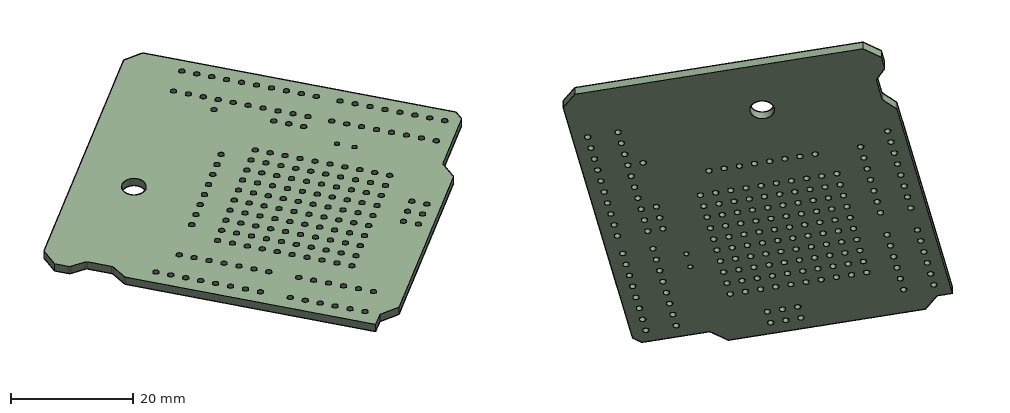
import cadquery as cq

board_width = 59.7
width_in_pitches = 23.5
depth_in_pitches = 21
board_thickness = 1.6
pitch = board_width / width_in_pitches
board_depth = depth_in_pitches * pitch

corner_chamfer = pitch
top_right_chamfer = 1.3
main_right_x = board_width - pitch
tab_bottom_y = pitch
tab_top_y = 16 * pitch

notch_depth = 1.9
notch_left_x = 5.15
notch_floor_left_x = 7.4
notch_floor_right_x = 11.9
notch_right_x = 14.5
notch_corner_radius = 0.65
edge_clearance = 0.3

pin_diameter = 1.0
small_pin_diameter = 0.85
mounting_diameter = 4.0
mounting_x = 9.95
mounting_y = 8.5 * pitch
small_pin_center_x = 16 * pitch
small_pin_y = 16 * pitch
small_pin_spacing = 3.0
programming_header_shift = 0.1

top_row = 20
top_inner_row = top_row - 2
extra_row = top_inner_row - 1
top_left_column = 3.9
top_right_column = 14.5
field_column = 10.5
field_row = 5
programming_column = 21.5
programming_row = 10
bottom_row = 1
bottom_inner_row = bottom_row + 2
bottom_left_column = 7.5
bottom_right_column = 16.5


def pin_block(first_column, first_row, columns, rows=1, shift_x=0):
    """Centres of a block of pins, one pitch apart, from its lower left pin."""
    return [
        ((first_column + i) * pitch + shift_x, (first_row + j) * pitch)
        for i in range(columns)
        for j in range(rows)
    ]


def drill(board, centers, diameter):
    """Cut round through holes at the given centres."""
    cutters = cq.Workplane("XY").pushPoints(centers).circle(diameter / 2).extrude(board_thickness)
    return board.cut(cutters)


def make_board():
    """Flat board with chamfered corners, a tab on the right and a rounded bottom notch."""
    outline = [
        (0, corner_chamfer),
        (corner_chamfer, 0),
        (notch_left_x, 0),
        (notch_floor_left_x, notch_depth),
        (notch_floor_right_x, notch_depth),
        (notch_right_x, 0),
        (main_right_x, 0),
        (main_right_x, tab_bottom_y),
        (board_width, tab_bottom_y + corner_chamfer),
        (board_width, tab_top_y - corner_chamfer),
        (main_right_x, tab_top_y),
        (main_right_x, board_depth - top_right_chamfer),
        (main_right_x - top_right_chamfer, board_depth),
        (corner_chamfer, board_depth),
        (0, board_depth - corner_chamfer),
    ]
    board = cq.Workplane("XY").polyline(outline).close().extrude(board_thickness)
    notch_corners = cq.selectors.BoxSelector(
        (corner_chamfer + edge_clearance, -edge_clearance, 0),
        (main_right_x - edge_clearance, notch_depth + edge_clearance, board_thickness),
    )
    return board.edges("|Z").edges(notch_corners).fillet(notch_corner_radius)


pin_centers = []

for row in (top_row, top_inner_row):
    pin_centers += pin_block(top_left_column, row, columns=10)
    pin_centers += pin_block(top_right_column, row, columns=8)

pin_centers += pin_block(top_left_column + 3, extra_row, columns=1)
pin_centers += pin_block(top_left_column + 7, extra_row, columns=3)

pin_centers += pin_block(field_column, field_row, columns=10, rows=10)
pin_centers += pin_block(field_column - 2, field_row + 1, columns=1, rows=8)

pin_centers += pin_block(
    programming_column, programming_row, columns=2, rows=3, shift_x=programming_header_shift
)

pin_centers += pin_block(bottom_left_column, bottom_row, columns=8)
pin_centers += pin_block(bottom_left_column + 1, bottom_inner_row, columns=7)
for row in (bottom_row, bottom_inner_row):
    pin_centers += pin_block(bottom_right_column, row, columns=6)

small_pin_centers = [
    (small_pin_center_x + side * small_pin_spacing / 2, small_pin_y) for side in (-1, 1)
]

result = make_board()
result = drill(result, pin_centers, pin_diameter)
result = drill(result, small_pin_centers, small_pin_diameter)
result = drill(result, [(mounting_x, mounting_y)], mounting_diameter)